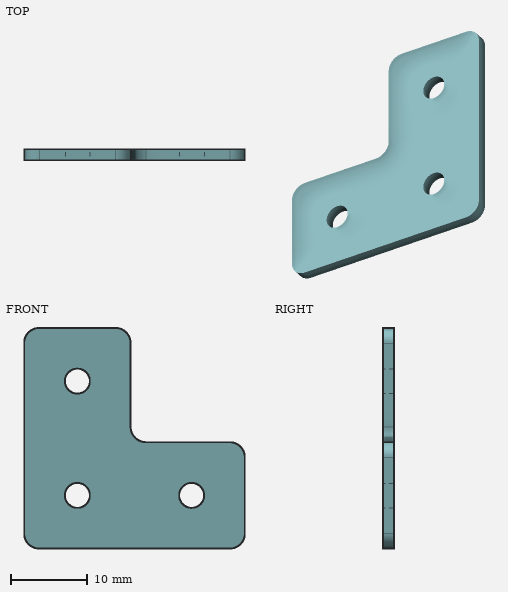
import cadquery as cq

leg_length = 29.0
leg_width = 14.0
thickness = 1.5
corner_radius = 2.0

hole_diameter = 3.25
hole_pitch = 15.0
hole_inset = leg_width / 2


def make_plate():
    """L-shaped plate with every corner rounded, its -Y face at y = 0."""
    outline = [
        (0, 0),
        (leg_length, 0),
        (leg_length, leg_width),
        (leg_width, leg_width),
        (leg_width, leg_length),
        (0, leg_length),
    ]
    plate = cq.Workplane("XZ").polyline(outline).close().extrude(-thickness)
    return plate.edges("|Y").fillet(corner_radius)


def make_holes():
    """Through-hole cylinders at the elbow and on both legs."""
    centers = [
        (hole_inset, hole_inset),
        (hole_inset + hole_pitch, hole_inset),
        (hole_inset, hole_inset + hole_pitch),
    ]
    return cq.Workplane("XZ").pushPoints(centers).circle(hole_diameter / 2).extrude(-thickness)


result = make_plate().cut(make_holes())